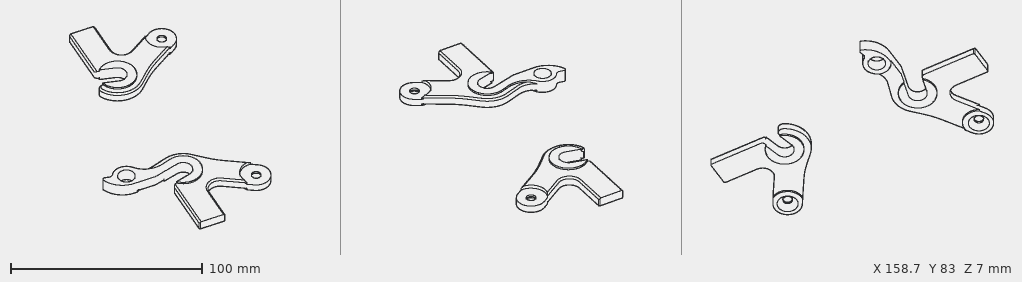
import cadquery as cq
import math


total_height = 7.0
plate_bottom = 1.0
plate_top = 6.0
eye_top = 4.05

outer_width = 158.74
axle_spacing = 80.0
axle_x = axle_spacing / 2

slot_radius = 5.0
slot_lean = math.radians(15)
boss_radius = 10.15
rim_radius = 14.0

arm_end_x = axle_x - outer_width / 2
arm_top_y = 5.6
arm_bottom_y = -9.3
arm_corner_break = 0.5

eye_x = -17.5
eye_y = 33.9
eye_radius = 7.75
eye_recess_radius = 8.65
eye_hole_diameter = 5.08
eye_sink_radius = 5.5
strut_angle = math.radians(-57.5)
shoulder_angle = math.radians(-46.2)

crotch_radius = 6.15
bend_radius = 50.0
slot_mouth_radius = 2.0
hook_end_angle = math.radians(-61.9)
hook_end_radius = 3.1
bevel = 1.0

hanger_x = 8.0
hanger_y = -29.05
hanger_radius = 7.4
hanger_hole_diameter = 9.14
hanger_base_radius = 7.5
neck_lean = math.radians(18)
neck_radius = 10.0
pad_neck_radius = 14.0
hanger_inner_x = 1.05
tooth_arc_radius = 14.4
tooth_arc_start_y = -27.9
tooth_bottom_y = -41.35
tooth_tip_radius = 1.2
tooth_root_angle = math.radians(-68)
tooth_root_radius = 2.2


def on_circle(x, y, radius, angle):
    """Point on a circle at an angle measured from +X."""
    return (x + radius * math.cos(angle), y + radius * math.sin(angle))


def line_crossing(point_a, angle_a, point_b, angle_b):
    """Crossing of two lines, each given by a point and a direction."""
    dx = point_b[0] - point_a[0]
    dy = point_b[1] - point_a[1]
    along = (dx * math.sin(angle_b) - dy * math.cos(angle_b)) / math.sin(angle_b - angle_a)
    return (point_a[0] + along * math.cos(angle_a), point_a[1] + along * math.sin(angle_a))


def line_circle_crossing(point, angle, center, radius, side):
    """Crossing of a line and a circle: side -1 is where the line enters, 1 where it leaves."""
    dx = center[0] - point[0]
    dy = center[1] - point[1]
    along = dx * math.cos(angle) + dy * math.sin(angle)
    aside = dx * math.sin(angle) - dy * math.cos(angle)
    length = along + side * math.sqrt(radius**2 - aside**2)
    return (point[0] + length * math.cos(angle), point[1] + length * math.sin(angle))


def prism(wire, bottom, top):
    return wire.extrude(top - bottom).translate((0, 0, bottom))


def slab(bottom, top):
    """Layer between two heights, large enough to span any outline."""
    return prism(cq.Workplane("XY").rect(2 * outer_width, 2 * outer_width), bottom, top)


def disc(x, y, radius, bottom, top):
    return prism(cq.Workplane("XY").center(x, y).circle(radius), bottom, top)


right_angle = math.pi / 2
eye_inner = on_circle(eye_x, eye_y, eye_radius, strut_angle - right_angle)
eye_tip = on_circle(eye_x, eye_y, eye_radius, strut_angle + math.pi)
eye_outer = on_circle(eye_x, eye_y, eye_radius, strut_angle + right_angle)
rim_start = on_circle(0, 0, rim_radius, shoulder_angle + right_angle)
crotch = line_crossing(eye_inner, strut_angle, (0, arm_top_y), 0)
bend = line_crossing(eye_outer, strut_angle, rim_start, shoulder_angle)
slot_direction = -right_angle - slot_lean
slot_outer = on_circle(0, 0, slot_radius, -slot_lean)
slot_crown = on_circle(0, 0, slot_radius, right_angle - slot_lean)
slot_inner = on_circle(0, 0, slot_radius, math.pi - slot_lean)
slot_mouth = line_crossing(slot_inner, slot_direction, (0, arm_bottom_y), 0)


def start_outline():
    """Outline from the slot mouth round the arm, strut and eye to the start of the rim."""
    return (
        cq.Workplane("XY")
        .moveTo(*slot_mouth)
        .lineTo(arm_end_x, arm_bottom_y)
        .lineTo(arm_end_x, arm_top_y)
        .lineTo(*crotch)
        .lineTo(*eye_inner)
        .threePointArc(eye_tip, eye_outer)
        .lineTo(*bend)
        .lineTo(*rim_start)
    )


def finish_outline(outline):
    """Close an outline over the axle slot, starting from the outer slot wall."""
    return outline.lineTo(*slot_outer).threePointArc(slot_crown, slot_inner).close()


def round_corner(solid, corner, radius):
    """Round the upright edge at an outline corner."""
    middle = (corner[0], corner[1], total_height / 2)
    return solid.edges("|Z").edges(cq.selectors.NearestToPointSelector(middle)).fillet(radius)


def round_common_corners(solid):
    solid = round_corner(solid, crotch, crotch_radius)
    return round_corner(solid, bend, bend_radius)


def hook_profile():
    """Full-height hook dropout, its rim ending in a rounded tip beside the slot."""
    end_start = on_circle(0, 0, rim_radius, hook_end_angle)
    end_x, end_y = on_circle(0, 0, rim_radius - hook_end_radius, hook_end_angle)
    tip = line_circle_crossing(slot_outer, slot_direction, (end_x, end_y), hook_end_radius, 1)
    tip_angle = math.atan2(tip[1] - end_y, tip[0] - end_x)
    end_middle = on_circle(end_x, end_y, hook_end_radius, (hook_end_angle + tip_angle) / 2)
    outline = start_outline().threePointArc((rim_radius, 0), end_start).threePointArc(end_middle, tip)
    solid = finish_outline(outline).extrude(total_height)
    return round_common_corners(solid)


def neck_end(radius):
    """Start and end of the neck line that leaves a circle round the axle for the hanger."""
    direction = -right_angle - neck_lean
    start = on_circle(0, 0, radius, -neck_lean)
    end = line_circle_crossing(start, direction, (hanger_x, hanger_y), hanger_radius, -1)
    return start, end


def hanger_profile():
    """Full-height derailleur dropout, its rim running down into the hanger."""
    neck_start, neck_foot = neck_end(rim_radius)
    root = on_circle(hanger_x, hanger_y, hanger_radius, tooth_root_angle)
    tooth_start = (hanger_inner_x, tooth_arc_start_y)
    arc_x = hanger_inner_x + tooth_arc_radius
    tip_y = tooth_bottom_y + tooth_tip_radius
    arc_end_angle = math.pi + math.asin((tooth_arc_start_y - tip_y) / (tooth_arc_radius - tooth_tip_radius))
    tip_x, _ = on_circle(arc_x, tooth_arc_start_y, tooth_arc_radius - tooth_tip_radius, arc_end_angle)
    tooth_end = on_circle(arc_x, tooth_arc_start_y, tooth_arc_radius, arc_end_angle)
    tooth_middle = on_circle(arc_x, tooth_arc_start_y, tooth_arc_radius, (math.pi + arc_end_angle) / 2)
    wall_top = line_crossing(slot_outer, slot_direction, (hanger_inner_x, 0), right_angle)
    outline = (
        start_outline()
        .threePointArc((rim_radius, 0), neck_start)
        .lineTo(*neck_foot)
        .threePointArc((hanger_x + hanger_radius, hanger_y), root)
        .lineTo(tip_x + tooth_tip_radius, tip_y)
        .threePointArc((tip_x, tooth_bottom_y), tooth_end)
        .threePointArc(tooth_middle, tooth_start)
        .lineTo(*wall_top)
    )
    solid = finish_outline(outline).extrude(total_height)
    solid = round_corner(solid, neck_foot, neck_radius)
    solid = round_corner(solid, root, tooth_root_radius)
    return round_common_corners(solid)


def hanger_pad():
    """Zone of the raised pad that runs from the axle boss down over the hanger."""
    start, foot = neck_end(boss_radius)
    side = on_circle(hanger_x, hanger_y, hanger_radius, 0)
    outline = (
        cq.Workplane("XY")
        .moveTo(0, 0)
        .lineTo(*start)
        .lineTo(*foot)
        .threePointArc(side, (hanger_x, hanger_y - hanger_radius))
        .lineTo(0, hanger_y - hanger_radius)
        .close()
    )
    pad = round_corner(outline.extrude(total_height), foot, pad_neck_radius)
    return pad.intersect(slab(plate_bottom, total_height))


def bevelled_plate(profile):
    """Middle layer of a dropout, its upper edge bevelled except at the arm end and in the slot."""
    plate = profile.intersect(slab(plate_bottom, plate_top))
    axle = cq.Vertex.makeVertex(0, 0, plate_top)
    upper_edges = plate.faces(">Z").edges("not(<X)")
    outer_edges = upper_edges.filter(lambda edge: edge.distance(axle) > slot_radius + bevel)
    plate = outer_edges.sort(lambda edge: edge.Center().x).chamfer(bevel)
    return plate.edges("|Z and <X").chamfer(arm_corner_break)


def eye_bore():
    """Screw hole through the eye, countersunk at 90 degrees from below."""
    hole_radius = eye_hole_diameter / 2
    hole = disc(eye_x, eye_y, hole_radius, 0, total_height)
    sink_depth = eye_sink_radius - hole_radius
    sink = cq.Workplane(cq.Solid.makeCone(eye_sink_radius, hole_radius, sink_depth))
    return hole.union(sink.translate((eye_x, eye_y, 0)))


def dropout(profile):
    """Bevelled plate with the eye stepped down and the axle boss standing out on both faces."""
    plate = bevelled_plate(profile)
    plate = plate.cut(disc(eye_x, eye_y, eye_recess_radius, eye_top, total_height))
    profile = round_corner(profile, slot_mouth, slot_mouth_radius)
    plate = plate.intersect(profile)
    eye = profile.intersect(disc(eye_x, eye_y, eye_recess_radius, 0, eye_top))
    boss = profile.intersect(disc(0, 0, boss_radius, 0, total_height))
    return plate.union(eye).union(boss).cut(eye_bore())


def hook_dropout():
    return dropout(hook_profile()).translate((-axle_x, 0, 0))


def hanger_base():
    """Full-height zone around the hanger bolt and down over the tooth."""
    reach = 2 * hanger_radius
    tooth_zone = cq.Workplane("XY").center(hanger_x, hanger_y - reach).rect(2 * reach, 2 * reach)
    bolt_zone = disc(hanger_x, hanger_y, hanger_base_radius, 0, total_height)
    return prism(tooth_zone, 0, total_height).union(bolt_zone)


def hanger_dropout():
    profile = hanger_profile()
    raised = profile.intersect(hanger_pad().union(hanger_base()))
    bolt_hole = disc(hanger_x, hanger_y, hanger_hole_diameter / 2, 0, total_height)
    body = dropout(profile).union(raised).cut(bolt_hole)
    return body.mirror("YZ").translate((axle_x, 0, 0))


hook = hook_dropout()
hanger = hanger_dropout()
result = cq.Compound.makeCompound([hook.val(), hanger.val()])